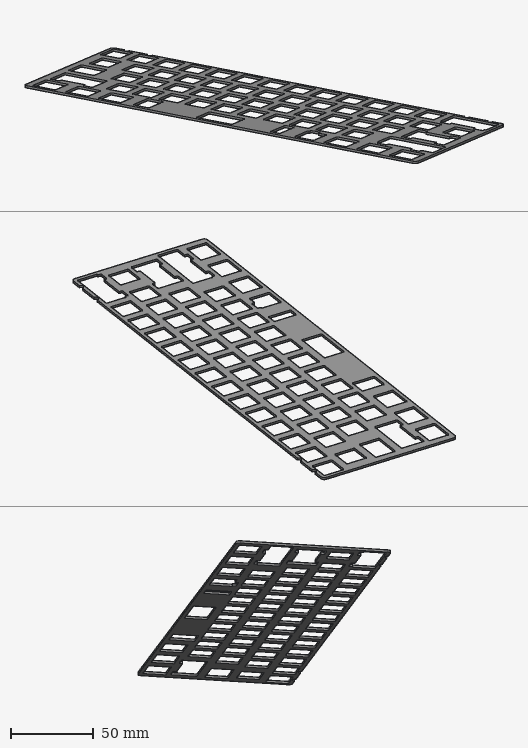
import cadquery as cq

plate_length = 285.8
columns = 15
rows = 5
pitch = plate_length / columns
plate_width = rows * pitch
thickness = 1.5
plate_corner_radius = 2.3
hole_corner_radius = 0.5

switch_size = 14.0

slot_width = 7.0
slot_long_reach = 9.1
slot_short_reach = 6.5
slot_offset = 12.0
slot_offset_short_space = 50.0
slot_offset_long_space = 3 * pitch

notch_radius = 1.7
notch_offsets = (115.5, 132.3)

backspace_centre = 14.0
enter_centre = 13.875
left_shift_centre = 1.125
right_shift_centre = 13.625
short_space_centre = 6.875
long_space_centre = 7.5

BACK, UPPER, HOME, LOWER, SPACE = range(rows)

back_row = [0.5 + i for i in range(13)] + [(13.5, 14.5)]
upper_row = [0.75] + [2.0 + i for i in range(12)] + [14.25]
home_row = [(0.625, 0.875)] + [2.25 + i for i in range(11)] + [enter_centre]
lower_row = [left_shift_centre] + [2.75 + i for i in range(10)] + [(13.125, 14.5)]
space_row = [
    (0.625, 0.75),
    (1.875, 2.0),
    (3.125, 3.25),
    (short_space_centre, long_space_centre),
    10.625,
    (11.75, 11.875),
    (13.0, 13.125),
    (14.25, 14.375),
]
layout = {BACK: back_row, UPPER: upper_row, HOME: home_row, LOWER: lower_row, SPACE: space_row}


def column_x(units):
    return units * pitch - plate_length / 2


def row_y(row):
    return plate_width / 2 - (row + 0.5) * pitch


def cutter(x_min, x_max, y_min, y_max):
    """Block with rounded corners through the full plate thickness."""
    block = cq.Workplane("XY").box(x_max - x_min, y_max - y_min, thickness, centered=False)
    return block.edges("|Z").fillet(hole_corner_radius).translate((x_min, y_min, 0))


def switch_hole(first, last, row):
    """Hole for a switch anywhere between two positions of a row."""
    half = switch_size / 2
    y = row_y(row)
    return cutter(column_x(first) - half, column_x(last) + half, y - half, y + half)


def stabilizer_slots(centre, row, offset, reach_front, reach_back):
    """Pair of slots on both sides of a key."""
    y = row_y(row)
    slots = []
    for side in (-1, 1):
        x = column_x(centre) + side * offset
        slots.append(cutter(x - slot_width / 2, x + slot_width / 2, y - reach_front, y + reach_back))
    return slots


def two_unit_stabilizer(centre, row, reach_back):
    """Stabilizer slots joined to the switch hole by an opening of the same depth as that hole."""
    half_span = slot_offset + slot_width / 2
    half_depth = switch_size / 2
    x = column_x(centre)
    y = row_y(row)
    opening = cutter(x - half_span, x + half_span, y - half_depth, y + half_depth)
    return [opening] + stabilizer_slots(centre, row, slot_offset, slot_long_reach, reach_back)


plate = cq.Workplane("XY").box(plate_length, plate_width, thickness, centered=(True, True, False))
plate = plate.edges("|Z").fillet(plate_corner_radius)

cutters = []
for row, keys in layout.items():
    for key in keys:
        first, last = key if isinstance(key, tuple) else (key, key)
        cutters.append(switch_hole(first, last, row))

cutters += two_unit_stabilizer(backspace_centre, BACK, slot_short_reach)
cutters += two_unit_stabilizer(enter_centre, HOME, slot_long_reach)
for centre in (left_shift_centre, right_shift_centre):
    cutters += two_unit_stabilizer(centre, LOWER, slot_short_reach)
for centre, offset in (
    (short_space_centre, slot_offset_short_space),
    (long_space_centre, slot_offset_long_space),
):
    cutters += stabilizer_slots(centre, SPACE, offset, slot_short_reach, slot_long_reach)

for offset in notch_offsets:
    for side in (-1, 1):
        notch = cq.Workplane("XY").circle(notch_radius).extrude(thickness)
        cutters.append(notch.translate((side * offset, plate_width / 2, 0)))

perforated = plate.val().cut(*[block.val() for block in cutters])
result = plate.newObject([perforated]).clean()